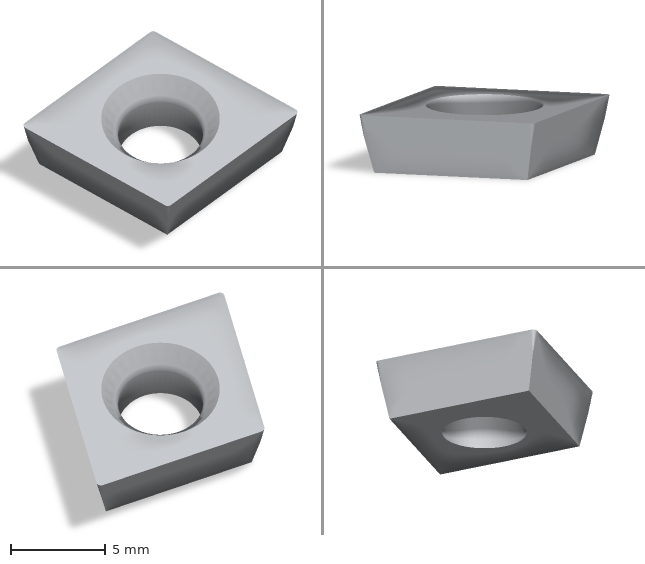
import cadquery as cq
import math

width = 9.53
thickness = 3.18
acute_angle = math.radians(80)
relief_angle = 11
nose_radius = 0.24

bore_diameter = 4.5
sink_diameter = 6.29
sink_half_angle = math.radians(40)
sink_blend_radius = 0.56

nose_depth = nose_radius / math.tan(math.radians(relief_angle))
shoulder_z = thickness - nose_depth


def rhombus_points(across):
    """Corners of a centred rhombus with the given distance across its sides."""
    side = across / math.sin(acute_angle)
    lean = side * math.cos(acute_angle)
    left = -(side + lean) / 2
    right = -left
    half = across / 2
    return [(left, -half), (left + side, -half), (right, half), (right - side, half)]


def insert_body():
    """Sharp-cornered lower block topped by a block flaring into rounded noses."""
    shoulder = rhombus_points(width - 2 * nose_radius)
    lower = (
        cq.Workplane("XY", origin=(0, 0, shoulder_z))
        .polyline(shoulder)
        .close()
        .extrude(-shoulder_z, taper=relief_angle)
    )
    upper = (
        cq.Workplane("XY", origin=(0, 0, shoulder_z))
        .polyline(shoulder)
        .close()
        .extrude(nose_depth, taper=-relief_angle)
    )
    return lower.union(upper)


def screw_hole():
    """Revolved void: straight bore, rounded blend and conical countersink."""
    bore_radius = bore_diameter / 2
    sink_radius = sink_diameter / 2
    blend_centre_r = bore_radius + sink_blend_radius

    def blend_radius_at(angle):
        return blend_centre_r - sink_blend_radius * math.cos(angle)

    cone_base_r = blend_radius_at(sink_half_angle)
    cone_base_z = thickness - (sink_radius - cone_base_r) / math.tan(sink_half_angle)
    blend_start_z = cone_base_z - sink_blend_radius * math.sin(sink_half_angle)
    mid_angle = sink_half_angle / 2
    blend_mid = (blend_radius_at(mid_angle), blend_start_z + sink_blend_radius * math.sin(mid_angle))
    return (
        cq.Workplane("XZ")
        .lineTo(bore_radius, 0)
        .lineTo(bore_radius, blend_start_z)
        .threePointArc(blend_mid, (cone_base_r, cone_base_z))
        .lineTo(sink_radius, thickness)
        .lineTo(0, thickness)
        .close()
        .revolve(360, (0, 0, 0), (0, 1, 0))
    )


result = insert_body().cut(screw_hole())